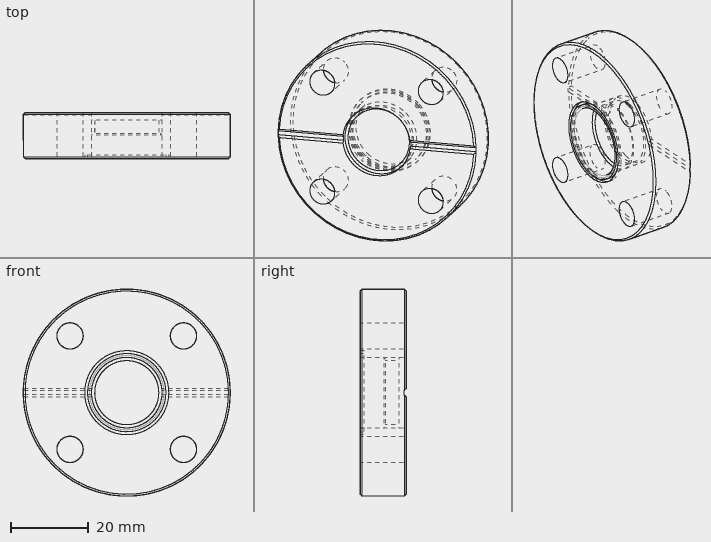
import cadquery as cq
import math


flange_diameter = 53.34
flange_thickness = 11.9
rim_chamfer = 0.5
front_y = -flange_thickness / 2
back_y = flange_thickness / 2

bolt_hole_diameter = 6.7
bolt_spacing = 29.2

relief_outer_diameter = 21.65
lip_diameter = 20.15
lip_flat_inner_diameter = 19.15
bore_diameter = 18.15
relief_depth = 1.0
lip_round = (lip_flat_inner_diameter - bore_diameter) / 2

window_diameter = 16.5
window_face_depth = 6.5
window_thickness = 3.5
window_face_y = front_y + window_face_depth
window_back_y = window_face_y + window_thickness
meniscus_radius = 1.2
meniscus_width = (bore_diameter - window_diameter) / 2
meniscus_height = meniscus_radius - math.sqrt(meniscus_radius**2 - meniscus_width**2)

back_groove_width = 2.25
back_groove_depth = 0.6
back_groove_floor_width = back_groove_width - 2 * back_groove_depth


def cylinder(diameter, y_start, y_end):
    """Solid cylinder on the Y axis between two Y positions."""
    base = cq.Workplane("XZ", origin=(0, y_start, 0))
    return base.circle(diameter / 2).extrude(y_start - y_end)


def make_flange():
    body = cylinder(flange_diameter, front_y, back_y).edges().chamfer(rim_chamfer)

    body = body.cut(cylinder(bore_diameter, front_y, back_y))
    front_edges = body.faces("<Y").edges()
    body = front_edges.edges(cq.selectors.RadiusNthSelector(0)).fillet(lip_round)

    relief_floor_y = front_y + relief_depth
    relief = cylinder(relief_outer_diameter, front_y, relief_floor_y)
    relief = relief.cut(cylinder(lip_diameter, front_y, relief_floor_y))
    body = body.cut(relief)

    holes = (
        cq.Workplane("XZ", origin=(0, front_y, 0))
        .rect(bolt_spacing, bolt_spacing, forConstruction=True)
        .vertices()
        .circle(bolt_hole_diameter / 2)
        .extrude(-flange_thickness)
    )
    body = body.cut(holes)

    groove = (
        cq.Workplane("YZ", origin=(-flange_diameter / 2, 0, 0))
        .moveTo(back_y, -back_groove_width / 2)
        .lineTo(back_y - back_groove_depth, -back_groove_floor_width / 2)
        .lineTo(back_y - back_groove_depth, back_groove_floor_width / 2)
        .lineTo(back_y, back_groove_width / 2)
        .close()
        .extrude(flange_diameter)
    )
    return body.cut(groove)


def make_seal_ring():
    """Ring between window and bore, with a concave meniscus in front."""
    ring_front_y = window_face_y - meniscus_height
    body = cylinder(bore_diameter, ring_front_y, window_back_y)
    body = body.cut(cylinder(window_diameter, ring_front_y, window_back_y))
    meniscus = cq.Solid.makeTorus(
        window_diameter / 2,
        meniscus_radius,
        cq.Vector(0, window_face_y - meniscus_radius, 0),
        cq.Vector(0, 1, 0),
    )
    return body.cut(cq.Workplane(meniscus))


def make_window():
    return cylinder(window_diameter, window_face_y, window_back_y)


flange = make_flange()
seal_ring = make_seal_ring()
window = make_window()

bodies = [flange, seal_ring, window]
result = cq.Compound.makeCompound([body.solids().val() for body in bodies])